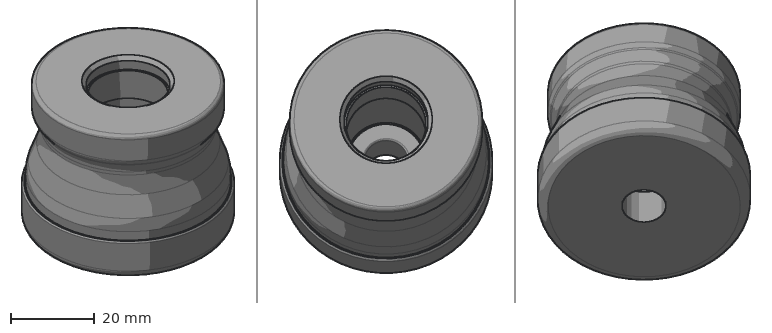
import cadquery as cq
import math

base_radius = 25.4
base_height = 10.8
base_bottom_fillet = 2.5
base_top_fillet = 0.35

total_height = 40.0
belly_radius = 24.5
belly_top = 13.3
belly_arc_radius = 10.0
taper_angle = math.radians(20)
waist_arc_radius = 15.0
waist_radius = 21.0
waist_length = 0.9
neck_angle = math.radians(45)
neck_arc_radius = 4.0
neck_cone_rise = 0.35
rim_radius = 23.0
rim_lower_arc_radius = 2.0
rim_top_fillet = 1.0

recess_radius = 24.8
recess_depth = 0.1
seat_height = base_height - recess_depth

hub_radius = 15.0
hub_top = 28.4

bore_radius = 10.0
bore_chamfer = 1.0
bore_depth = 3.55
pocket_radius = 9.5
pocket_floor = base_height
pocket_floor_chamfer = 0.3
hole_radius = 5.25
hole_fillet = 0.4


def arc_point(center_r, center_z, radius, angle):
    """Point of an arc in the (r, z) half plane, at an angle from the +r direction."""
    return center_r + radius * math.cos(angle), center_z + radius * math.sin(angle)


def convex_arc(profile, center, radius, start, end):
    """Add an arc that bulges outward; angles are measured from +r."""
    middle = arc_point(*center, radius, (start + end) / 2)
    return profile.threePointArc(middle, arc_point(*center, radius, end))


def concave_arc(profile, center, radius, start, end):
    """Add an arc that curves inward; angles are measured from -r."""
    return convex_arc(profile, center, radius, math.pi - start, math.pi - end)


def revolve_profile(profile):
    return profile.close().revolve(360, (0, 0, 0), (0, 1, 0))


def make_handle_blank():
    """Turned outline of the handle from its seat on the base to its flat top."""
    belly_center = (belly_radius - belly_arc_radius, belly_top)
    cone_bottom_r, cone_bottom_z = arc_point(*belly_center, belly_arc_radius, taper_angle)

    waist_center_r = waist_radius + waist_arc_radius
    cone_top_r = waist_center_r - waist_arc_radius * math.cos(taper_angle)
    cone_top_z = cone_bottom_z + (cone_bottom_r - cone_top_r) / math.tan(taper_angle)
    waist_bottom = cone_top_z + waist_arc_radius * math.sin(taper_angle)
    waist_center = (waist_center_r, waist_bottom)

    neck_bottom = waist_bottom + waist_length
    neck_center = (waist_radius + neck_arc_radius, neck_bottom)
    neck_top_z = neck_bottom + neck_arc_radius * math.sin(neck_angle)
    rim_bottom = neck_top_z + neck_cone_rise + rim_lower_arc_radius * math.sin(neck_angle)
    rim_center = (rim_radius - rim_lower_arc_radius, rim_bottom)

    profile = cq.Workplane("XZ").moveTo(0, seat_height).lineTo(belly_radius, seat_height)
    profile = profile.lineTo(belly_radius, belly_top)
    profile = convex_arc(profile, belly_center, belly_arc_radius, 0, taper_angle)
    profile = profile.lineTo(cone_top_r, cone_top_z)
    profile = concave_arc(profile, waist_center, waist_arc_radius, -taper_angle, 0)
    profile = profile.lineTo(waist_radius, neck_bottom)
    profile = concave_arc(profile, neck_center, neck_arc_radius, 0, neck_angle)
    profile = profile.lineTo(*arc_point(*rim_center, rim_lower_arc_radius, -neck_angle))
    profile = convex_arc(profile, rim_center, rim_lower_arc_radius, -neck_angle, 0)
    profile = profile.lineTo(rim_radius, total_height).lineTo(0, total_height)
    return revolve_profile(profile).faces(">Z").edges().fillet(rim_top_fillet)


def make_bore():
    """Bore, pocket and round-edged through hole as one turned cutter."""
    bore_floor = total_height - bore_depth
    hole_edge_center = (hole_radius + hole_fillet, pocket_floor - hole_fillet)
    profile = cq.Workplane("XZ").lineTo(hole_radius, 0).lineTo(hole_radius, pocket_floor - hole_fillet)
    profile = concave_arc(profile, hole_edge_center, hole_fillet, 0, math.pi / 2)
    profile = (
        profile
        .lineTo(pocket_radius - pocket_floor_chamfer, pocket_floor)
        .lineTo(pocket_radius, pocket_floor + pocket_floor_chamfer)
        .lineTo(pocket_radius, bore_floor)
        .lineTo(bore_radius, bore_floor)
        .lineTo(bore_radius, total_height - bore_chamfer)
        .lineTo(bore_radius + bore_chamfer, total_height)
        .lineTo(0, total_height)
    )
    return revolve_profile(profile)


def make_hub_blank():
    """Solid cylinder that fills the hub socket of the handle."""
    return cq.Workplane("XY").workplane(offset=seat_height).circle(hub_radius).extrude(hub_top - seat_height)


def make_base():
    base = cq.Workplane("XY").circle(base_radius).extrude(base_height)
    base = base.faces("<Z").edges().fillet(base_bottom_fillet)
    base = base.faces(">Z").edges().fillet(base_top_fillet)
    recess = cq.Workplane("XY").workplane(offset=seat_height).circle(recess_radius).extrude(recess_depth)
    return base.cut(recess).union(make_hub_blank()).cut(make_bore())


def make_handle():
    return make_handle_blank().cut(make_hub_blank()).cut(make_bore())


base = make_base()
handle = make_handle()
result = cq.Compound.makeCompound([base.val(), handle.val()])